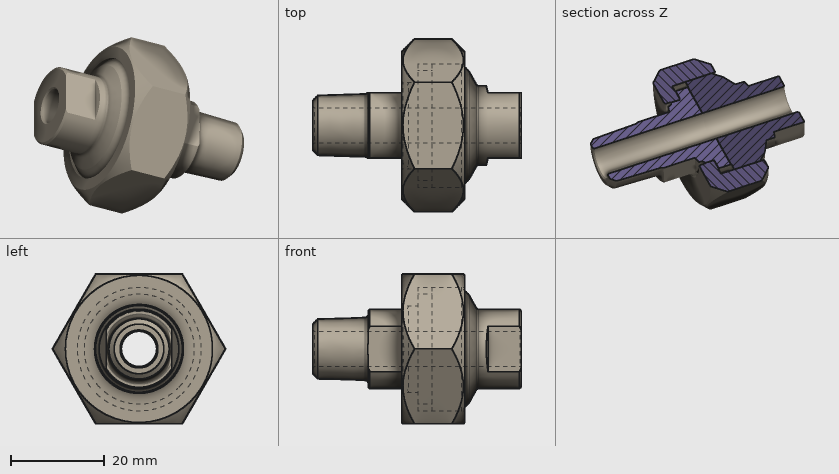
import cadquery as cq
import math

TOTAL_LENGTH = 44.5
BORE_DIAMETER = 7.5
BORE_CHAMFER = 0.3
BODY_DIAMETER = 17.0
BODY_RADIUS = BODY_DIAMETER / 2

FLAT_ACROSS = 14.0
FLAT_LENGTH = 7.1
FLAT_WALL_ANGLE = 14.0

NUT_START = 18.95
NUT_WIDTH = 13.5
NUT_END = NUT_START + NUT_WIDTH
NUT_ACROSS_FLATS = 32.0
NUT_CORNER_RADIUS = NUT_ACROSS_FLATS / math.sqrt(3)
NUT_FACE_RADIUS = 31.4 / 2
NUT_LIP_BORE_RADIUS = 18.5 / 2
NUT_LIP_CHAMFER = 0.25
NUT_LIP_THICKNESS = 3.5
NUT_LIP_END = NUT_START + NUT_LIP_THICKNESS
THREAD_RADIUS = 26.4 / 2

TIP_CHAMFER = 1.12
TAPER_START_RADIUS = 6.42
TAPER_SLOPE = 1 / 32
TAPER_END = 11.15
TAPER_END_RADIUS = TAPER_START_RADIUS + (TAPER_END - TIP_CHAMFER) * TAPER_SLOPE
SHOULDER_FILLET = 0.75
SHOULDER = TAPER_END + SHOULDER_FILLET
SHOULDER_CHAMFER = 0.3
COLLAR_STEP = NUT_LIP_BORE_RADIUS - BODY_RADIUS
COLLAR_START = 20.4
FLANGE_RADIUS = 23.5 / 2
FLANGE_THICKNESS = 3.0
FLANGE_END = NUT_LIP_END + FLANGE_THICKNESS

TAIL_CHAMFER_END = NUT_END + 0.95
TAIL_CHAMFER_END_RADIUS = 11.47
TAIL_CHAMFER_START = TAIL_CHAMFER_END - (THREAD_RADIUS - TAIL_CHAMFER_END_RADIUS)
TAIL_CONE_ANGLE = 61.0
TAIL_CONE_LENGTH = (TAIL_CHAMFER_END_RADIUS - BODY_RADIUS) / math.tan(math.radians(TAIL_CONE_ANGLE))
TAIL_CONE_END = TAIL_CHAMFER_END + TAIL_CONE_LENGTH
TAIL_CONE_FILLET = 0.4
TAIL_END_CHAMFER = 0.4
TAIL_FLAT_START = TOTAL_LENGTH - FLAT_LENGTH


def revolve_about_x(profile):
    return profile.close().revolve(360, (0, 0, 0), (1, 0, 0))


def bore(start, end, chamfered_end):
    """Cutter for the through bore, flared by a chamfer at its outer end."""
    radius = BORE_DIAMETER / 2
    cutter = cq.Workplane("YZ", origin=(start, 0, 0)).circle(radius).extrude(end - start)
    direction = 1 if chamfered_end == start else -1
    flare = revolve_about_x(
        cq.Workplane("XY")
        .moveTo(chamfered_end, 0)
        .lineTo(chamfered_end, radius + BORE_CHAMFER)
        .lineTo(chamfered_end + direction * BORE_CHAMFER, radius)
        .lineTo(chamfered_end + direction * BORE_CHAMFER, 0)
    )
    return cutter.union(flare)


def wrench_flats(open_end, wall):
    """Cutters for two flats running from the open end to a leaning wall, given at its root."""
    depth = BODY_DIAMETER - FLAT_ACROSS
    direction = 1 if wall > open_end else -1
    lean = direction * depth * math.tan(math.radians(FLAT_WALL_ANGLE))
    inner = FLAT_ACROSS / 2
    flat = (
        cq.Workplane("XY")
        .polyline([(open_end, inner), (wall, inner), (wall + lean, inner + depth), (open_end, inner + depth)])
        .close()
        .extrude(BODY_RADIUS, both=True)
    )
    return flat.union(flat.mirror("XZ"))


def make_nipple():
    blank = revolve_about_x(
        cq.Workplane("XY")
        .lineTo(0, TAPER_START_RADIUS - TIP_CHAMFER)
        .lineTo(TIP_CHAMFER, TAPER_START_RADIUS)
        .lineTo(TAPER_END, TAPER_END_RADIUS)
        .radiusArc((SHOULDER, TAPER_END_RADIUS + SHOULDER_FILLET), -SHOULDER_FILLET)
        .lineTo(SHOULDER, BODY_RADIUS - SHOULDER_CHAMFER)
        .lineTo(SHOULDER + SHOULDER_CHAMFER, BODY_RADIUS)
        .lineTo(COLLAR_START - COLLAR_STEP, BODY_RADIUS)
        .radiusArc((COLLAR_START, NUT_LIP_BORE_RADIUS), -COLLAR_STEP)
        .lineTo(NUT_LIP_END, NUT_LIP_BORE_RADIUS)
        .lineTo(NUT_LIP_END, FLANGE_RADIUS)
        .lineTo(FLANGE_END, FLANGE_RADIUS)
        .lineTo(FLANGE_END, 0)
    )
    flats = wrench_flats(TAPER_END, SHOULDER + FLAT_LENGTH)
    return blank.cut(flats).cut(bore(0, FLANGE_END, 0))


def make_nut():
    hexagon = (
        cq.Workplane("YZ", origin=(NUT_START, 0, 0))
        .polygon(6, 2 * NUT_CORNER_RADIUS)
        .extrude(NUT_WIDTH)
    )
    corner_chamfer = NUT_CORNER_RADIUS - NUT_FACE_RADIUS
    envelope = revolve_about_x(
        cq.Workplane("XY")
        .moveTo(NUT_START, 0)
        .lineTo(NUT_START, NUT_FACE_RADIUS)
        .lineTo(NUT_START + corner_chamfer, NUT_CORNER_RADIUS)
        .lineTo(NUT_END - corner_chamfer, NUT_CORNER_RADIUS)
        .lineTo(NUT_END, NUT_FACE_RADIUS)
        .lineTo(NUT_END, 0)
    )
    cavity = revolve_about_x(
        cq.Workplane("XY")
        .moveTo(NUT_START, 0)
        .lineTo(NUT_START, NUT_LIP_BORE_RADIUS + NUT_LIP_CHAMFER)
        .lineTo(NUT_START + NUT_LIP_CHAMFER, NUT_LIP_BORE_RADIUS)
        .lineTo(NUT_LIP_END, NUT_LIP_BORE_RADIUS)
        .lineTo(NUT_LIP_END, THREAD_RADIUS)
        .lineTo(NUT_END, THREAD_RADIUS)
        .lineTo(NUT_END, 0)
    )
    return hexagon.intersect(envelope).cut(cavity)


def make_tail():
    blank = revolve_about_x(
        cq.Workplane("XY")
        .moveTo(FLANGE_END, 0)
        .lineTo(FLANGE_END, THREAD_RADIUS)
        .lineTo(TAIL_CHAMFER_START, THREAD_RADIUS)
        .lineTo(TAIL_CHAMFER_END, TAIL_CHAMFER_END_RADIUS)
        .lineTo(TAIL_CONE_END, BODY_RADIUS)
        .lineTo(TOTAL_LENGTH - TAIL_END_CHAMFER, BODY_RADIUS)
        .lineTo(TOTAL_LENGTH, BODY_RADIUS - TAIL_END_CHAMFER)
        .lineTo(TOTAL_LENGTH, 0)
    )
    near_cone_end = cq.selectors.BoxSelector(
        (TAIL_CONE_END - TAIL_CONE_FILLET, -THREAD_RADIUS, -THREAD_RADIUS),
        (TAIL_CONE_END + TAIL_CONE_FILLET, THREAD_RADIUS, THREAD_RADIUS),
    )
    blank = blank.edges("%CIRCLE").edges(near_cone_end).fillet(TAIL_CONE_FILLET)
    flats = wrench_flats(TOTAL_LENGTH, TAIL_FLAT_START)
    return blank.cut(flats).cut(bore(FLANGE_END, TOTAL_LENGTH, TOTAL_LENGTH))


nipple = make_nipple()
nut = make_nut()
tail = make_tail()

result = cq.Compound.makeCompound([nipple.val(), nut.val(), tail.val()])